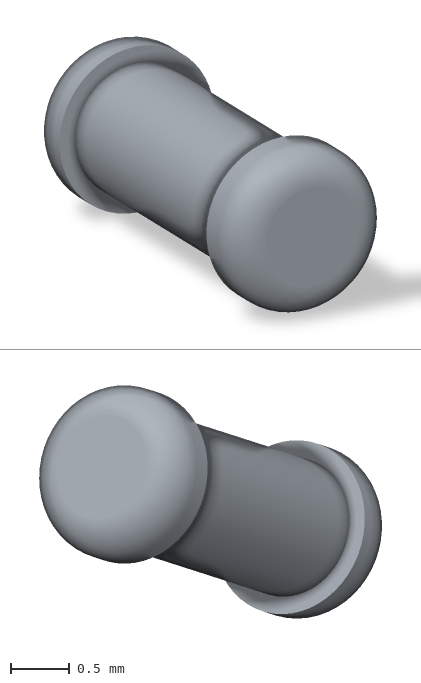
import cadquery as cq

total_length = 3.6
cap_diameter = 1.5
body_diameter = 1.2
cap_length = 0.5
cap_edge_radius = 0.3


def cylinder_along_x(diameter, start_x, length):
    """Solid cylinder on the X axis, running from start_x toward +X."""
    return cq.Workplane("YZ", origin=(start_x, 0, 0)).circle(diameter / 2).extrude(length)


def left_cap():
    """End cap whose outer rim, on the -X side, is rounded."""
    cap = cylinder_along_x(cap_diameter, -total_length / 2, cap_length)
    return cap.faces("<X").edges().fillet(cap_edge_radius)


body_length = total_length - 2 * cap_length
body = cylinder_along_x(body_diameter, -body_length / 2, body_length)

cap = left_cap()
result = body.union(cap).union(cap.mirror("YZ"))